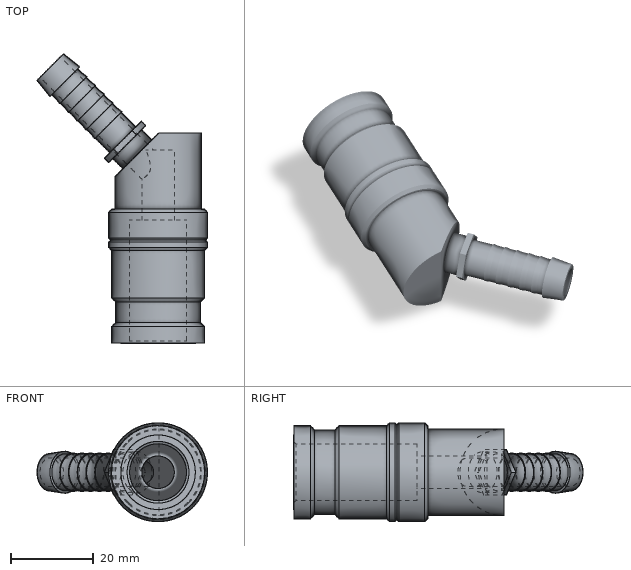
import cadquery as cq
import math

LIP_HEIGHT = 0.1
LIP_RADIUS = 9.05
BODY_LENGTH = 51.0
BODY_RADIUS = 10.5
NOSE_RADIUS = 11.3
NECK_RADIUS = 10.3
COLLAR_RADIUS = 12.0
COLLAR_CHAMFER = 0.75

NOSE_END = 4.0
NECK_START = 5.0
NECK_END = 10.0
SLEEVE_START = 11.0
COLLAR_START = 22.5
COLLAR_END = 32.5

GROOVE_START = 24.5
GROOVE_END = 25.5
GROOVE_DEPTH = 0.5

SOCKET_RADIUS = 6.9
SOCKET_MOUTH_RADIUS = 7.5
SOCKET_DEPTH = 30.0
BORE_RADIUS = 3.95
BORE_END = 46.9

TAIL_ANGLE = 45.0
TAIL_TIP_X = -26.15
TAIL_TIP_Y = 67.05
TAIL_RADIUS = 4.45
TAIL_NECK_RADIUS = 4.95
TAIL_BORE_RADIUS = 3.5
TAIL_LENGTH = 29.9
TAIL_EMBED = 2.0
TIP_RADIUS = 4.55
TIP_BARB_RADIUS = 5.1
TIP_BARB_LENGTH = 5.0

BARB_COUNT = 5
BARB_START = 6.5
BARB_PITCH = 3.0
BARB_LENGTH = 1.4
BARB_RADIUS = 4.65

HEX_START = 24.9
HEX_THICKNESS = 1.5
HEX_ACROSS_FLATS = 11.0


def make_body():
    """Turned body with lip, nose, neck, sleeve and grooved collar."""
    face = LIP_HEIGHT
    groove_middle = face + (GROOVE_START + GROOVE_END) / 2
    return (
        cq.Workplane("XY")
        .moveTo(0, 0)
        .lineTo(LIP_RADIUS, 0)
        .lineTo(LIP_RADIUS, face)
        .lineTo(NOSE_RADIUS, face)
        .lineTo(NOSE_RADIUS, face + NOSE_END)
        .lineTo(NECK_RADIUS, face + NECK_START)
        .lineTo(NECK_RADIUS, face + NECK_END)
        .lineTo(NOSE_RADIUS, face + SLEEVE_START)
        .lineTo(NOSE_RADIUS, face + COLLAR_START)
        .lineTo(COLLAR_RADIUS, face + COLLAR_START + COLLAR_CHAMFER)
        .lineTo(COLLAR_RADIUS, face + GROOVE_START)
        .lineTo(COLLAR_RADIUS - GROOVE_DEPTH, groove_middle)
        .lineTo(COLLAR_RADIUS, face + GROOVE_END)
        .lineTo(COLLAR_RADIUS, face + COLLAR_END - COLLAR_CHAMFER)
        .lineTo(COLLAR_RADIUS - COLLAR_CHAMFER, face + COLLAR_END)
        .lineTo(BODY_RADIUS, face + COLLAR_END)
        .lineTo(BODY_RADIUS, face + BODY_LENGTH)
        .lineTo(0, face + BODY_LENGTH)
        .close()
        .revolve(360, (0, 0, 0), (0, 1, 0))
    )


def make_bores():
    """Chamfered socket followed by the narrower flat-ended bore."""
    mouth_chamfer = SOCKET_MOUTH_RADIUS - SOCKET_RADIUS
    return (
        cq.Workplane("XY")
        .moveTo(0, 0)
        .lineTo(SOCKET_MOUTH_RADIUS, 0)
        .lineTo(SOCKET_RADIUS, mouth_chamfer)
        .lineTo(SOCKET_RADIUS, SOCKET_DEPTH)
        .lineTo(BORE_RADIUS, SOCKET_DEPTH)
        .lineTo(BORE_RADIUS, BORE_END)
        .lineTo(0, BORE_END)
        .close()
        .revolve(360, (0, 0, 0), (0, 1, 0))
    )


def place_on_tail_axis(shape):
    """Move a shape built along +Y from the origin so that it runs from the tail tip into the body."""
    turn = 180 + TAIL_ANGLE
    return shape.rotate((0, 0, 0), (0, 0, 1), turn).translate((TAIL_TIP_X, TAIL_TIP_Y, 0))


def make_corner_cut():
    """Block that removes the body corner beyond the slanted face."""
    size = 2 * BODY_LENGTH
    block = cq.Workplane("XY").box(size, size, size).translate((0, TAIL_LENGTH - size / 2, 0))
    return place_on_tail_axis(block)


def make_tail():
    """Hose tail with barbs and hexagon, turned and then placed with its tip outwards."""
    tail_end = TAIL_LENGTH + TAIL_EMBED
    profile = (
        cq.Workplane("XY")
        .moveTo(0, 0)
        .lineTo(TIP_RADIUS, 0)
        .lineTo(TIP_BARB_RADIUS, TIP_BARB_LENGTH)
        .lineTo(TAIL_RADIUS, TIP_BARB_LENGTH)
    )
    for i in range(BARB_COUNT):
        start = BARB_START + i * BARB_PITCH
        end = start + BARB_LENGTH
        profile = profile.lineTo(TAIL_RADIUS, start).lineTo(BARB_RADIUS, end).lineTo(TAIL_RADIUS, end)
    tail = (
        profile.lineTo(TAIL_RADIUS, HEX_START)
        .lineTo(TAIL_NECK_RADIUS, HEX_START)
        .lineTo(TAIL_NECK_RADIUS, tail_end)
        .lineTo(0, tail_end)
        .close()
        .revolve(360, (0, 0, 0), (0, 1, 0))
    )
    across_corners = HEX_ACROSS_FLATS / math.cos(math.radians(30))
    hexagon = (
        cq.Workplane("XZ", origin=(0, HEX_START, 0))
        .polygon(6, across_corners)
        .extrude(-HEX_THICKNESS)
    )
    return place_on_tail_axis(tail.union(hexagon))


def make_tail_bore():
    """Bore through the tail, ending where the tail axis meets the body axis."""
    depth = -TAIL_TIP_X / math.sin(math.radians(TAIL_ANGLE))
    bore = cq.Workplane("XZ").circle(TAIL_BORE_RADIUS).extrude(-depth)
    return place_on_tail_axis(bore)


result = (
    make_body()
    .cut(make_corner_cut())
    .union(make_tail())
    .cut(make_bores())
    .cut(make_tail_bore())
)